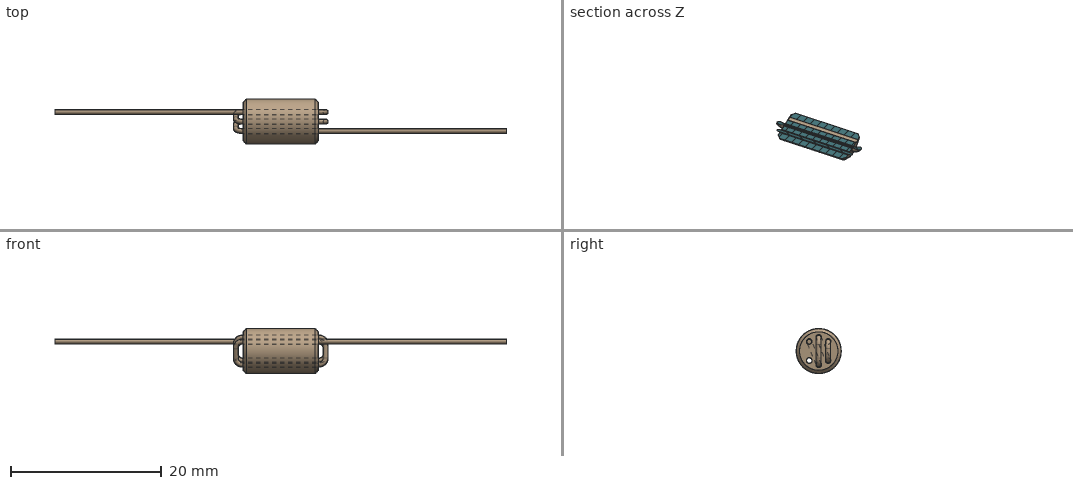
import cadquery as cq

bead_diameter = 6.0
bead_length = 10.0
edge_chamfer = 0.45
hole_diameter = 0.7
corner_hole_offset = 1.25
middle_hole_offset = 1.8

wire_diameter = 0.65
wire_span = 60.0
bend_radius = 0.9
loop_reach = 0.95
bend_start_x = bead_length / 2 + loop_reach - bend_radius

upper_front = (-corner_hole_offset, corner_hole_offset)
upper_middle = (0, middle_hole_offset)
upper_back = (corner_hole_offset, corner_hole_offset)
lower_front = (-corner_hole_offset, -corner_hole_offset)
lower_middle = (0, -middle_hole_offset)
lower_back = (corner_hole_offset, -corner_hole_offset)

threading_order = [upper_back, lower_back, upper_middle, lower_middle, upper_front]
hole_centres = threading_order + [lower_front]


def make_bead():
    """Chamfered cylinder with six through holes."""
    bead = (
        cq.Workplane("YZ", origin=(-bead_length / 2, 0, 0))
        .circle(bead_diameter / 2)
        .extrude(bead_length)
        .edges("%CIRCLE")
        .chamfer(edge_chamfer)
    )
    holes = (
        cq.Workplane("YZ", origin=(-bead_length / 2, 0, 0))
        .pushPoints(hole_centres)
        .circle(hole_diameter / 2)
        .extrude(bead_length)
    )
    return bead.cut(holes)


def return_loop(start_hole, end_hole, side):
    """Edges joining two holes outside one end face (side is -1 or +1 along X)."""
    bend_x = side * bend_start_x
    start = cq.Vector(bend_x, *start_hole)
    end = cq.Vector(bend_x, *end_hole)
    outward = cq.Vector(side, 0, 0)
    across = (end - start).normalized()
    bend_shift = (outward + across) * bend_radius
    bend_shift_back = (outward - across) * bend_radius
    first_bend_end = start + bend_shift
    second_bend_start = end + bend_shift_back
    return [
        cq.Edge.makeTangentArc(start, outward, first_bend_end),
        cq.Edge.makeLine(first_bend_end, second_bend_start),
        cq.Edge.makeTangentArc(second_bend_start, across, end),
    ]


def wire_path():
    """Centreline from the -X lead, back and forth through the bead, to the +X lead."""
    edges = []
    last_pass = len(threading_order) - 1
    for index, hole in enumerate(threading_order):
        side = 1 if index % 2 == 0 else -1
        start_x = -wire_span / 2 if index == 0 else -side * bend_start_x
        end_x = wire_span / 2 if index == last_pass else side * bend_start_x
        edges.append(cq.Edge.makeLine(cq.Vector(start_x, *hole), cq.Vector(end_x, *hole)))
        if index < last_pass:
            edges.extend(return_loop(hole, threading_order[index + 1], side))
    return cq.Wire.assembleEdges(edges)


def make_wire():
    """Round wire swept along its threaded centreline."""
    return (
        cq.Workplane("YZ", origin=(-wire_span / 2, *threading_order[0]))
        .circle(wire_diameter / 2)
        .sweep(cq.Workplane("XY").newObject([wire_path()]))
    )


bead = make_bead()
lead_wire = make_wire()

result = cq.Compound.makeCompound([bead.val(), lead_wire.val()])